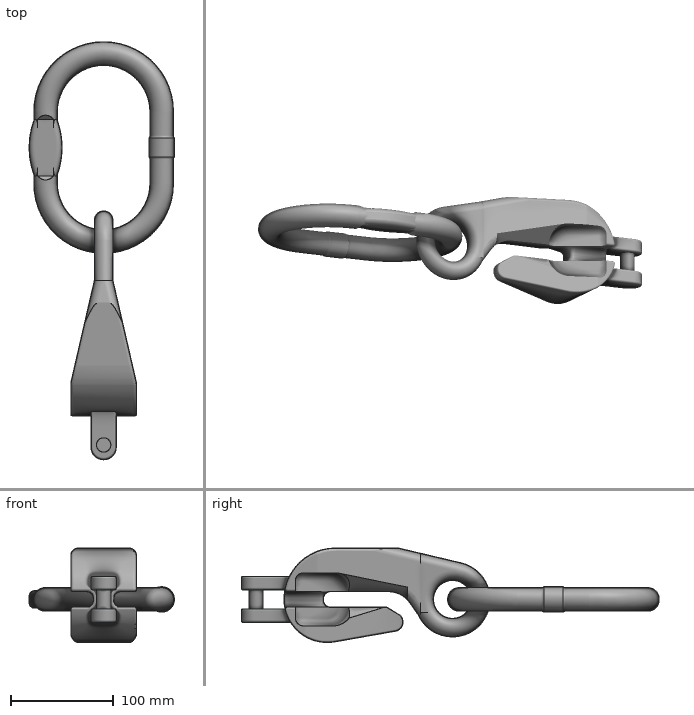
import cadquery as cq
import math

link_wire = 23.0
link_width = 136.0
link_straight = 70.0
link_bend_radius = (link_width - link_wire) / 2
link_length = link_straight + link_width
link_centre_y = 98.3
weld_diameter = 24.73
weld_length = 18.5
weld_run_out = 2.2
pad_overhang = 4.545
pad_half_length = 26.0
pad_half_thickness = 8.5
pad_fillet = 5.5
pad_flat_length = 55.0
pad_ramp = 4.0

eye_wire = 18.0
eye_half = eye_wire / 2
eye_centre_radius = 27.5
eye_outer_radius = eye_centre_radius + eye_half
ramp_angle = 13.3
web_foot_angle = -28.0
taper_start = 31.0

hook_half_width = 32.0
upper_taper_end = 131.0
lower_taper_end = 143.0
nose_half_width = 5.2
taper_blend = 10.0
hook_back = 164.0
hook_top = 50.0
hook_bottom = -42.0
edge_fillet = 3.0
lower_edge_fillet = 1.5
lower_jaw_angle = 10.0
nose_tip = 48.2
nose_radius = 9.0
nose_slope = 40.0
nose_crest = 64.0
slot_half = 7.5
throat_radius = 25.0
throat_centre = 62.0
throat_angle = 145.0
throat_fillet = 7.0
ramp_fillet = 8.9

post_half_width = 10.0
post_front = 125.5
post_corner = 3.0
post_fillet = 6.5
slot_end = post_front - post_fillet
slot_edge = 2.2
upper_mouth_start = (44.0, 0.0)
upper_mouth_end = (111.0, -1.8)
lower_mouth_start = (nose_crest, -2.8)
lower_mouth_end = (111.0, -1.6)
pocket_angle = 26.5
pocket_floor_point = (10.6, 118.0)
pocket_ahead = 15.5
pocket_behind = 42.0
pocket_half_height = 25.8
pocket_front_radius = 20.0
pocket_back_radius = 8.0
pocket_floor_fillet = 7.5

total_length = 406.91
clevis_end = total_length - link_centre_y - link_length / 2
ear_root = 152.0
ear_half_width = 12.3
ear_inner = 9.2
ear_outer = 22.5
ear_fillet = 2.0
ear_round_centre = clevis_end - ear_half_width
pin_diameter = 14.0
pin_centre = 191.2

overrun = 60.0
margin = 1.0


def make_master_link():
    half_straight = link_straight / 2
    path = (
        cq.Workplane("XY")
        .moveTo(link_bend_radius, 0)
        .lineTo(link_bend_radius, half_straight)
        .threePointArc((0, half_straight + link_bend_radius), (-link_bend_radius, half_straight))
        .lineTo(-link_bend_radius, -half_straight)
        .threePointArc((0, -half_straight - link_bend_radius), (link_bend_radius, -half_straight))
        .close()
    )
    link = cq.Workplane("XZ", origin=(link_bend_radius, 0, 0)).circle(link_wire / 2).sweep(path)

    flat_half = pad_flat_length / 2
    depth = link_wire / 2 - pad_half_thickness
    for side in (1, -1):
        flat = (
            cq.Workplane("YZ", origin=(-link_bend_radius, 0, 0))
            .moveTo(-flat_half, side * pad_half_thickness)
            .lineTo(flat_half, side * pad_half_thickness)
            .lineTo(flat_half + pad_ramp, side * (pad_half_thickness + depth))
            .lineTo(-flat_half - pad_ramp, side * (pad_half_thickness + depth))
            .close()
            .extrude(link_wire / 2, both=True)
        )
        link = link.cut(flat)

    pad_half_width = link_wire / 2 + pad_overhang
    pad_radius = (pad_half_length**2 + pad_overhang**2) / (2 * pad_overhang)
    pad_tip = math.sqrt(pad_radius**2 - (pad_radius - pad_half_width) ** 2)
    pad = (
        cq.Workplane("XY", origin=(-link_bend_radius, 0, 0))
        .moveTo(0, -pad_tip)
        .threePointArc((pad_half_width, 0), (0, pad_tip))
        .threePointArc((-pad_half_width, 0), (0, -pad_tip))
        .close()
        .extrude(pad_half_thickness, both=True)
        .faces("|Z").edges().fillet(pad_fillet)
        .intersect(cq.Workplane("XY", origin=(-link_bend_radius, 0, 0))
                   .box(2 * pad_half_width, pad_flat_length, link_wire))
    )
    weld_radius = weld_diameter / 2
    wire_radius = link_wire / 2
    step = weld_radius - wire_radius
    hollow_radius = (weld_run_out**2 + step**2) / (2 * step)
    hollow_turn = math.asin(weld_run_out / hollow_radius) / 2
    hollow_x = wire_radius + hollow_radius * (1 - math.cos(hollow_turn))
    weld_end = weld_length / 2
    foot_end = weld_end + weld_run_out
    hollow_y = foot_end - hollow_radius * math.sin(hollow_turn)
    weld = (
        cq.Workplane("XY", origin=(link_bend_radius, 0, 0))
        .moveTo(0, -foot_end)
        .lineTo(wire_radius, -foot_end)
        .threePointArc((hollow_x, -hollow_y), (weld_radius, -weld_end))
        .lineTo(weld_radius, weld_end)
        .threePointArc((hollow_x, hollow_y), (wire_radius, foot_end))
        .lineTo(0, foot_end)
        .close()
        .revolve(360, (0, 0, 0), (0, 1, 0))
    )
    return link.union(pad).union(weld).translate((0, link_centre_y, 0))


def on_circle(y, z, radius, angle):
    """Point on a circle in the YZ plane, the angle in degrees from +Y."""
    turn = math.radians(angle)
    return y + radius * math.cos(turn), z + radius * math.sin(turn)


def ramp_height(y):
    """Height of the sloping back of the shank, tangent to the eye."""
    slope = math.radians(ramp_angle)
    return eye_outer_radius / math.cos(slope) + y * math.tan(slope)


def side_plate(outline, half_width):
    """A side outline in Y and Z thickened evenly about the middle plane."""
    return outline.close().extrude(half_width, both=True)


def make_eye():
    ring = cq.Solid.makeTorus(eye_centre_radius, eye_half, dir=cq.Vector(1, 0, 0))
    return cq.Workplane("XY").add(ring)


def make_shank():
    """Round-backed plate between the eye and the start of the widening."""
    rail_start = on_circle(0, 0, eye_centre_radius, 90 + ramp_angle)
    rail_end_z = rail_start[1] + (taper_start - rail_start[0]) * math.tan(math.radians(ramp_angle))
    web_foot = on_circle(0, 0, eye_centre_radius, web_foot_angle)
    rail = (
        cq.Workplane(cq.Plane((0, *rail_start), xDir=(1, 0, 0), normal=(0, *on_circle(0, 0, 1, ramp_angle))))
        .circle(eye_half)
        .extrude(overrun)
    )
    web = side_plate(
        cq.Workplane("YZ")
        .moveTo(*rail_start)
        .lineTo(taper_start, rail_end_z)
        .lineTo(taper_start, web_foot[1])
        .lineTo(*web_foot)
        .threePointArc((eye_centre_radius, 0), rail_start),
        eye_half,
    )
    room = cq.Workplane("XY").box(overrun, taper_start + overrun, 4 * overrun).translate(
        (0, (taper_start - overrun) / 2, 0)
    )
    return rail.union(web).intersect(room)


def plan_wedge(start, start_half, taper_end):
    """Plan outline that widens from start to taper_end and then runs straight to the back."""
    return (
        cq.Workplane("XY")
        .moveTo(-start_half, start)
        .lineTo(-hook_half_width, taper_end)
        .lineTo(-hook_half_width, hook_back)
        .lineTo(hook_half_width, hook_back)
        .lineTo(hook_half_width, taper_end)
        .lineTo(start_half, start)
        .close()
        .extrude(2 * overrun, both=True)
        .edges(cq.selectors.BoxSelector(
            (-overrun, taper_end - margin, -overrun), (overrun, taper_end + margin, overrun)
        )).fillet(taper_blend)
    )


def make_upper_jaw():
    """Upper jaw down to the middle plane, with its rounded back and the throat."""
    arc_centre = hook_back - hook_top
    wedge = plan_wedge(taper_start, eye_half, upper_taper_end)

    side = side_plate(
        cq.Workplane("YZ")
        .moveTo(taper_start, -overrun)
        .lineTo(taper_start, hook_top)
        .lineTo(arc_centre, hook_top)
        .threePointArc(on_circle(arc_centre, 0, hook_top, 45), (hook_back, 0))
        .lineTo(hook_back, -overrun),
        hook_half_width,
    )
    body = wedge.intersect(side)
    body = body.edges(cq.selectors.BoxSelector(
        (-overrun, taper_start + margin, margin), (overrun, hook_back + margin, hook_top + margin)
    )).edges("not |X").edges("not |Z").fillet(edge_fillet)

    sloped = wedge.intersect(side_plate(
        cq.Workplane("YZ")
        .moveTo(taper_start, -overrun)
        .lineTo(taper_start, ramp_height(taper_start))
        .lineTo(hook_back, ramp_height(hook_back))
        .lineTo(hook_back, -overrun),
        hook_half_width,
    ))
    sloped = sloped.faces(">Z").edges("not |X").fillet(ramp_fillet)
    body = body.intersect(sloped)

    throat_z = slot_half - throat_radius
    throat_end = on_circle(throat_centre, throat_z, throat_radius, throat_angle)
    fall = (throat_end[0] - taper_start) * math.tan(math.radians(throat_angle - 90))
    above_throat = wedge.intersect(side_plate(
        cq.Workplane("YZ")
        .moveTo(taper_start, overrun)
        .lineTo(taper_start, throat_end[1] - fall)
        .lineTo(*throat_end)
        .threePointArc(
            on_circle(throat_centre, throat_z, throat_radius, (90 + throat_angle) / 2),
            (throat_centre, slot_half),
        )
        .lineTo(slot_end, slot_half)
        .lineTo(slot_end, overrun),
        hook_half_width,
    ))
    throat_edges = cq.selectors.BoxSelector(
        (-overrun, taper_start + margin, throat_end[1] - fall),
        (overrun, slot_end - margin, slot_half + margin)
    )
    above_throat = above_throat.edges(throat_edges).edges("not |X").fillet(throat_fillet)
    back_wall = cq.Workplane("XY").box(
        2 * overrun, hook_back - slot_end, overrun, centered=(True, False, False)
    )
    body = body.intersect(above_throat.union(back_wall.translate((0, slot_end, 0))))
    for side in (1, -1):
        body = body.cut(make_mouth(upper_mouth_start, upper_mouth_end, side, 1))
    return body


def make_lower_jaw():
    """Lower jaw up to the middle plane, with its slanted underside and rounded nose."""
    arc_radius = -hook_bottom
    arc_centre = hook_back - arc_radius
    tangent_angle = -90 - lower_jaw_angle
    underside = on_circle(arc_centre, 0, arc_radius, tangent_angle)

    slant = math.radians(lower_jaw_angle)
    nose_y = nose_tip + nose_radius
    nose_z = (underside[1] + (underside[0] - nose_y) * math.tan(slant)
              + nose_radius / math.cos(slant))
    nose_start = on_circle(nose_y, nose_z, nose_radius, tangent_angle)
    nose_end = on_circle(nose_y, nose_z, nose_radius, 90 + nose_slope)

    side = side_plate(
        cq.Workplane("YZ")
        .moveTo(hook_back, 0)
        .threePointArc(on_circle(arc_centre, 0, arc_radius, -45), underside)
        .lineTo(*nose_start)
        .threePointArc((nose_tip, nose_z), nose_end)
        .lineTo(nose_crest, -slot_half)
        .lineTo(slot_end, -slot_half)
        .lineTo(slot_end, 0),
        hook_half_width,
    )
    jaw = plan_wedge(nose_tip, nose_half_width, lower_taper_end).intersect(side)
    rim = cq.selectors.BoxSelector(
        (-overrun, nose_tip - margin, hook_bottom - margin),
        (overrun, hook_back - margin, -slot_half - margin)
    )
    jaw = jaw.edges(rim).edges("not |X").edges("not |Z").fillet(lower_edge_fillet)
    for side in (1, -1):
        jaw = jaw.cut(make_mouth(lower_mouth_start, lower_mouth_end, side, -1))
    return jaw


def make_slot():
    """Slot across the hook, running round the post that joins the jaws."""
    post = (
        cq.Workplane("XY")
        .moveTo(-post_half_width, hook_back + overrun)
        .lineTo(-post_half_width, post_front)
        .lineTo(post_half_width, post_front)
        .lineTo(post_half_width, hook_back + overrun)
        .close()
        .extrude(slot_half, both=True)
        .edges("|Z and <Y").fillet(post_corner)
    )
    room = (
        cq.Workplane("XY")
        .box(2 * overrun, hook_back + overrun - throat_centre, 2 * slot_half)
        .translate((0, (hook_back + overrun + throat_centre) / 2, 0))
    )
    around_post = cq.selectors.BoxSelector(
        (-post_half_width - margin, post_front - margin, -slot_half - margin),
        (post_half_width + margin, hook_back + overrun - margin, slot_half + margin),
    )
    return room.cut(post).faces("|Z").edges(around_post).fillet(post_fillet)


def make_pocket():
    """Slanted pocket on the +X side that takes the upright chain link beside the post."""
    turn = math.radians(pocket_angle)
    floor = cq.Plane(
        (*pocket_floor_point, 0),
        xDir=(math.sin(turn), math.cos(turn), 0),
        normal=(math.cos(turn), -math.sin(turn), 0),
    )
    outward = cq.Workplane(floor)
    block = (
        outward
        .moveTo(-pocket_ahead, -pocket_half_height)
        .lineTo(pocket_behind, -pocket_half_height)
        .lineTo(pocket_behind, pocket_half_height)
        .lineTo(-pocket_ahead, pocket_half_height)
        .close()
        .extrude(overrun)
    )
    upright_ends = cq.selectors.ParallelDirSelector(floor.zDir)
    for end, radius in (("<Y", pocket_front_radius), (">Y", pocket_back_radius)):
        block = block.edges(upright_ends).edges(end).fillet(radius)
    floor_face = cq.selectors.DirectionMinMaxSelector(floor.zDir, False)
    return block.faces(floor_face).edges().fillet(pocket_floor_fillet)


def make_mouth(start, end, side, jaw):
    """Cutter that opens the slot outwards at 45 degrees ahead of a pocket.

    start and end give the line where the slanted wall, carried on, would reach the middle plane:
    its Y and its height, counted positive towards the jaw.
    side is 1 or -1 for +X or -X and jaw is 1 or -1 for the upper or lower jaw.
    """
    wall = [
        cq.Vector(0, start[0], jaw * start[1]),
        cq.Vector(0, end[0], jaw * end[1]),
        cq.Vector(0, end[0], -jaw * overrun),
        cq.Vector(0, start[0], -jaw * overrun),
    ]
    outline = cq.Wire.makePolygon(wall, close=True)
    run = cq.Vector(side * overrun, 0, jaw * overrun)
    return cq.Workplane("XY").add(cq.Solid.extrudeLinear(outline, [], run))


def make_ears():
    profile = (
        cq.Workplane("XY")
        .moveTo(-ear_half_width, ear_root)
        .lineTo(-ear_half_width, ear_round_centre)
        .threePointArc((0, clevis_end), (ear_half_width, ear_round_centre))
        .lineTo(ear_half_width, ear_root)
        .close()
        .extrude(ear_outer - ear_inner)
        .edges("not |Z").edges("not <Y").fillet(ear_fillet)
    )
    upper = profile.translate((0, 0, ear_inner))
    return upper.union(upper.mirror("XY"))


def make_pin():
    return (
        cq.Workplane("XY", origin=(0, pin_centre, -ear_outer))
        .circle(pin_diameter / 2)
        .extrude(2 * ear_outer)
    )


def make_hook():
    hook = make_upper_jaw().union(make_lower_jaw()).union(make_shank()).union(make_eye())
    hook = hook.cut(make_slot())
    slot_back = cq.selectors.BoxSelector(
        (-overrun, hook_back - 2 * margin, -slot_half - margin),
        (overrun, hook_back + margin, slot_half + margin)
    )
    hook = hook.edges(slot_back).fillet(slot_edge)
    pocket = make_pocket()
    hook = hook.cut(pocket).cut(pocket.mirror("YZ"))
    return hook.union(make_ears()).cut(make_pin())


def turned_round(part):
    return part.rotate((0, 0, 0), (0, 0, 1), 180)


master_link = make_master_link()
hook = turned_round(make_hook())
pin = turned_round(make_pin())
result = cq.Compound.makeCompound([master_link.val(), hook.val(), pin.val()])